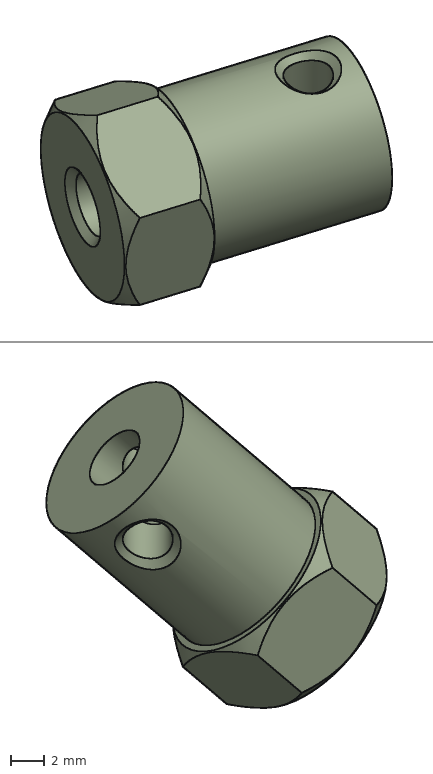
import cadquery as cq
import math

total_length = 18.0
hex_length = 6.0
hex_across_flats = 12.0
hex_face_diameter = 11.88
barrel_diameter = 11.0
bore_diameter = 4.0
bore_chamfer = 0.5
cross_hole_diameter = 3.0
countersink_diameter = 4.0
cross_hole_from_end = 3.0

hex_across_corners = hex_across_flats / math.cos(math.pi / 6)
corner_chamfer = (hex_across_corners - hex_face_diameter) / 2
cross_hole_y = total_length - cross_hole_from_end


def cylinder_along_y(diameter, length):
    return cq.Workplane("XZ").circle(diameter / 2).extrude(-length)


def make_hex_head():
    """Hexagon with corners on +Z and -Z, turned to 45 degree cones at both ends."""
    hexagon = (
        cq.Workplane("XZ")
        .transformed(rotate=(0, 0, 90))
        .polygon(6, hex_across_corners)
        .extrude(-hex_length)
    )
    turned_blank = cylinder_along_y(hex_across_corners, hex_length).edges("%CIRCLE").chamfer(corner_chamfer)
    return hexagon.intersect(turned_blank)


def make_bore():
    """Through bore, chamfered at the hex end."""
    mouth = cq.Solid.makeCone(
        bore_diameter / 2 + bore_chamfer,
        bore_diameter / 2,
        bore_chamfer,
        cq.Vector(0, 0, 0),
        cq.Vector(0, 1, 0),
    )
    return cylinder_along_y(bore_diameter, total_length).union(cq.Workplane(mouth))


def make_drilled_barrel():
    """Barrel with a hole through both walls along Z, its curved rims chamfered."""
    cross_hole = (
        cq.Workplane("XY", origin=(0, cross_hole_y, -barrel_diameter))
        .circle(cross_hole_diameter / 2)
        .extrude(2 * barrel_diameter)
    )
    barrel = cylinder_along_y(barrel_diameter, total_length).cut(cross_hole)
    rims = barrel.edges("not (%LINE or %CIRCLE)")
    return rims.chamfer((countersink_diameter - cross_hole_diameter) / 2)


result = make_hex_head().union(make_drilled_barrel()).cut(make_bore())